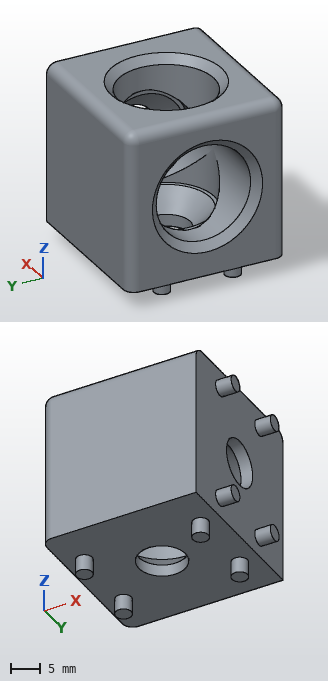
import cadquery as cq

overall_length = 33.0
cube_side = 30.0
half_side = cube_side / 2
edge_radius = 2.0

pin_length = overall_length - cube_side
pin_diameter = 3.0
pin_spacing_long = 22.5
pin_spacing_across = 13.5

mouth_diameter = 21.0
bore_diameter = 18.0
mouth_chamfer = (mouth_diameter - bore_diameter) / 2
bore_depth = 24.0
sink_diameter = 16.5
screw_diameter = 9.0
sink_depth = (sink_diameter - screw_diameter) / 2


def rounded_cube():
    """Cube centred on the origin, rounded around the -X and +Z faces."""
    cube = cq.Workplane("XY").box(cube_side, cube_side, cube_side)
    outer_edges = "(<X and |Z) or (>Z and |X) or (<X and >Z)"
    return cube.edges(outer_edges).fillet(edge_radius)


def vertical_screw_bore():
    """Stepped cutter entering the +Z face and passing out through -Z."""
    ledge = half_side - bore_depth
    return (
        cq.Workplane("XZ")
        .moveTo(0, half_side)
        .lineTo(mouth_diameter / 2, half_side)
        .lineTo(bore_diameter / 2, half_side - mouth_chamfer)
        .lineTo(bore_diameter / 2, ledge)
        .lineTo(sink_diameter / 2, ledge)
        .lineTo(screw_diameter / 2, ledge - sink_depth)
        .lineTo(screw_diameter / 2, -half_side)
        .lineTo(0, -half_side)
        .close()
        .revolve(360, (0, 0), (0, 1))
    )


def bottom_pins():
    """Four pins standing out of the -Z face."""
    return (
        cq.Workplane("XY", origin=(0, 0, -half_side))
        .rect(pin_spacing_long, pin_spacing_across, forConstruction=True)
        .vertices()
        .circle(pin_diameter / 2)
        .extrude(-pin_length)
    )


def turned_to_x(shape):
    """Turn a shape about Y so that +Z becomes -X and -Z becomes +X."""
    return shape.rotate((0, 0, 0), (0, 1, 0), -90)


bore = vertical_screw_bore()
pins = bottom_pins()

result = rounded_cube().cut(bore).cut(turned_to_x(bore))
result = result.union(pins).union(turned_to_x(pins))